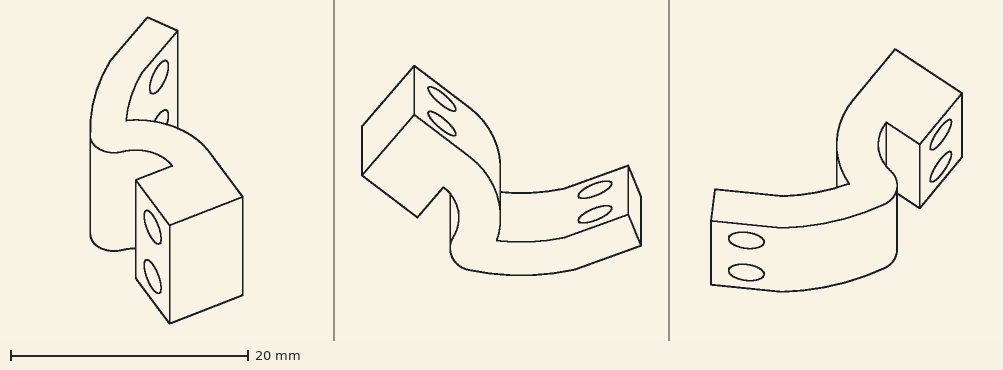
import cadquery as cq
import math

height = 12.0
hole_diameter = 3.0
hole_spacing = 6.0

block_width = 6.0
neck_outer_radius = 7.0
neck_inner_radius = 3.5
knuckle_radius = 2.0

arm_outer_radius = 20.0
arm_thickness = 3.0
arm_inner_radius = arm_outer_radius - arm_thickness
arm_start_angle = 218.0

plate_length = 6.0
plate_tilt = -60.0
plate_tip = (-16.25, 9.88)


def polar(center, radius, angle):
    """Point at a radius and an angle in degrees from a center."""
    radians = math.radians(angle)
    return (center[0] + radius * math.cos(radians), center[1] + radius * math.sin(radians))


def direction(start, end):
    """Angle in degrees from one point to another, from 0 to 360."""
    return math.degrees(math.atan2(end[1] - start[1], end[0] - start[0])) % 360


def ring_sector(center, outer_radius, inner_radius, start_angle, end_angle):
    """Curved band of full height between two angles."""
    middle_angle = (start_angle + end_angle) / 2
    return (
        cq.Workplane("XY")
        .moveTo(*polar(center, outer_radius, start_angle))
        .threePointArc(polar(center, outer_radius, middle_angle), polar(center, outer_radius, end_angle))
        .lineTo(*polar(center, inner_radius, end_angle))
        .threePointArc(polar(center, inner_radius, middle_angle), polar(center, inner_radius, start_angle))
        .close()
        .extrude(height)
    )


def hole_pair(face_point, angle, depth):
    """Two drills, one above the other, running from a point along an angle."""
    heading = polar((0, 0), 1, angle)
    drills = cq.Workplane("XY")
    for side in (-1, 1):
        start = cq.Vector(*face_point, height / 2 + side * hole_spacing / 2)
        drill = cq.Solid.makeCylinder(hole_diameter / 2, depth, start, cq.Vector(*heading, 0))
        drills = drills.add(drill)
    return drills.combine()


plate_normal = plate_tilt + 90
plate_end = polar(plate_tip, plate_length, plate_tilt)
plate = (
    cq.Workplane("XY")
    .polyline([
        plate_tip,
        plate_end,
        polar(plate_end, arm_thickness, plate_normal),
        polar(plate_tip, arm_thickness, plate_normal),
    ])
    .close()
    .extrude(height)
)

neck_center = (0, 0)
arm_center = polar(plate_end, arm_outer_radius, arm_start_angle - 180)
knuckle_from_arm = arm_outer_radius - knuckle_radius
knuckle_from_neck = neck_inner_radius + knuckle_radius
center_distance = math.hypot(*arm_center)
corner_cosine = (center_distance**2 + knuckle_from_neck**2 - knuckle_from_arm**2) / (
    2 * center_distance * knuckle_from_neck
)
neck_end_angle = direction(neck_center, arm_center) + math.degrees(math.acos(corner_cosine))
knuckle_center = polar(neck_center, knuckle_from_neck, neck_end_angle)
knuckle = cq.Workplane("XY").center(*knuckle_center).circle(knuckle_radius).extrude(height)

arm_end_angle = direction(arm_center, knuckle_center)
arm = ring_sector(arm_center, arm_outer_radius, arm_inner_radius, arm_start_angle, arm_end_angle)
neck = ring_sector(neck_center, neck_outer_radius, neck_inner_radius, 90, neck_end_angle)

block = cq.Workplane("XY").box(block_width, neck_outer_radius, height, centered=False)

plate_face_middle = polar(plate_tip, plate_length / 2, plate_tilt)
plate_holes = hole_pair(plate_face_middle, plate_normal, arm_thickness)
block_holes = hole_pair((block_width / 2, 0), 90, neck_outer_radius)

body = plate.union(arm).union(knuckle).union(neck).union(block)
result = body.cut(plate_holes).cut(block_holes)